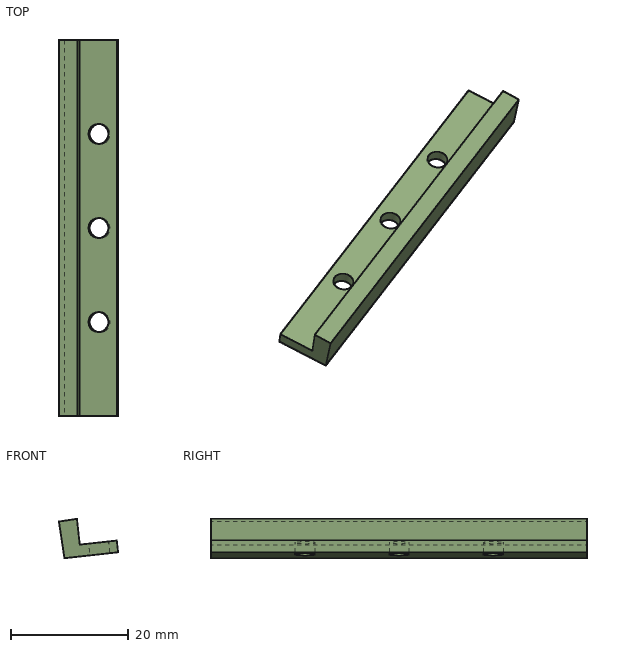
import cadquery as cq

length = 64.25
tilt_angle = 6.3

base_width = 9.25
base_thickness = 2.05
wall_thickness = 2.9
wall_height = 6.5
wall_overhang = 0.25
top_drop = 0.1

hole_diameter = 3.4
hole_count = 3
hole_pitch = length / (hole_count + 1)
hole_x = (wall_thickness + base_width) / 2


def make_rail():
    """L-section with a leaning outer wall face, extruded symmetrically along Y."""
    outline = [
        (0, 0),
        (base_width, 0),
        (base_width, base_thickness),
        (wall_thickness, base_thickness),
        (wall_thickness, wall_height),
        (-wall_overhang, wall_height - top_drop),
    ]
    return cq.Workplane("XZ").polyline(outline).close().extrude(length / 2, both=True)


def make_holes():
    """Row of evenly spaced cylinders through the base, square to its floor."""
    return (
        cq.Workplane("XY")
        .center(hole_x, 0)
        .rarray(0.65, hole_pitch, 1, hole_count)
        .circle(hole_diameter / 2)
        .extrude(base_thickness)
    )


result = make_rail().cut(make_holes()).rotate((0, 0, 0), (0, 1, 0), -tilt_angle)